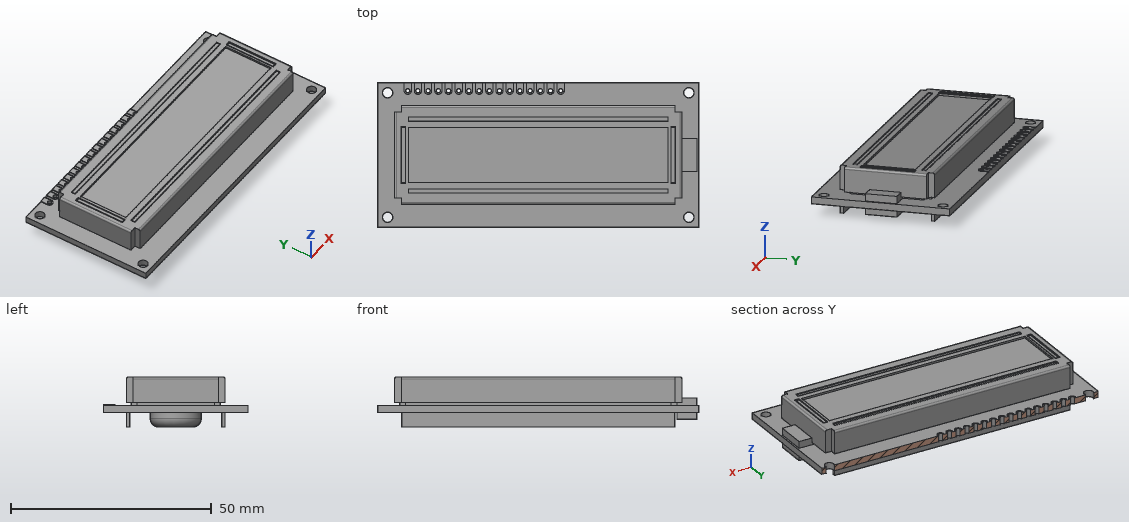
import cadquery as cq

BOARD_LENGTH = 80.0
BOARD_WIDTH = 36.0
BOARD_THICKNESS = 1.8
MOUNT_HOLE_DIAMETER = 2.5
MOUNT_HOLE_INSET = 2.5

PAD_COUNT = 16
PAD_PITCH = 2.54
PAD_WIDTH = 1.8
PAD_HEIGHT = 0.2
PAD_HOLE_DIAMETER = 1.0
PAD_HOLE_EDGE_DISTANCE = 2.0
FIRST_PAD_X = -32.5

BACKLIGHT_LENGTH = 69.0
BACKLIGHT_WIDTH = 22.2
BACKLIGHT_HEIGHT = 0.7
BACKLIGHT_NOTCH = 1.5
TERMINAL_LENGTH = 5.0
TERMINAL_WIDTH = 8.2
TERMINAL_RISE = 1.9
TERMINAL_DROP = 1.7

BEZEL_LENGTH = 71.6
BEZEL_WIDTH = 24.6
BEZEL_HEIGHT = 6.4
BEZEL_NOTCH_X = 1.75
BEZEL_NOTCH_Y = 1.6
BEZEL_FILLET = 0.5

WINDOW_LENGTH = 64.6
WINDOW_WIDTH = 13.6
WINDOW_DEPTH = 0.5
GROOVE_DEPTH = 0.25
LONG_GROOVE_INNER_Y = 8.4
LONG_GROOVE_OUTER_Y = 9.5
LONG_GROOVE_LEDGE = 0.1
SHORT_GROOVE_INNER_X = 33.0
SHORT_GROOVE_OUTER_X = 34.2
SHORT_GROOVE_LENGTH = 14.1
SHORT_GROOVE_LEDGE = 0.2
LEDGE_DEPTH = 0.1

UNDERSIDE_DROP = 3.6
LEG_THICKNESS = 0.9
DOME_DIAMETER = 12.8
DOME_FILLET = 2.2

BEZEL_BASE_Z = BOARD_THICKNESS + BACKLIGHT_HEIGHT
BEZEL_TOP_Z = BEZEL_BASE_Z + BEZEL_HEIGHT


def block(length, width, height, x=0.0, y=0.0, z=0.0):
    """Box centred on (x, y) with its underside at z."""
    return cq.Workplane("XY").box(length, width, height, centered=(True, True, False)).translate((x, y, z))


def make_board():
    hole_span_x = BOARD_LENGTH - 2 * MOUNT_HOLE_INSET
    hole_span_y = BOARD_WIDTH - 2 * MOUNT_HOLE_INSET
    return (
        block(BOARD_LENGTH, BOARD_WIDTH, BOARD_THICKNESS)
        .faces(">Z").workplane()
        .rect(hole_span_x, hole_span_y, forConstruction=True)
        .vertices()
        .hole(MOUNT_HOLE_DIAMETER)
    )


def add_pads(body):
    """Raised pads with a round inner end, each drilled through the board."""
    edge_y = BOARD_WIDTH / 2
    hole_y = edge_y - PAD_HOLE_EDGE_DISTANCE
    half_width = PAD_WIDTH / 2
    hole_centers = [(FIRST_PAD_X + i * PAD_PITCH, hole_y) for i in range(PAD_COUNT)]
    for x, _ in hole_centers:
        pad = (
            cq.Workplane("XY", origin=(0, 0, BOARD_THICKNESS))
            .moveTo(x - half_width, edge_y)
            .lineTo(x - half_width, hole_y)
            .threePointArc((x, hole_y - half_width), (x + half_width, hole_y))
            .lineTo(x + half_width, edge_y)
            .close()
            .extrude(PAD_HEIGHT)
        )
        body = body.union(pad)
    drills = (
        cq.Workplane("XY")
        .pushPoints(hole_centers)
        .circle(PAD_HOLE_DIAMETER / 2)
        .extrude(BOARD_THICKNESS + PAD_HEIGHT)
    )
    return body.cut(drills)


def make_backlight():
    inner_length = BACKLIGHT_LENGTH - 2 * BACKLIGHT_NOTCH
    inner_width = BACKLIGHT_WIDTH - 2 * BACKLIGHT_NOTCH
    along_x = block(BACKLIGHT_LENGTH, inner_width, BACKLIGHT_HEIGHT, z=BOARD_THICKNESS)
    along_y = block(inner_length, BACKLIGHT_WIDTH, BACKLIGHT_HEIGHT, z=BOARD_THICKNESS)
    terminal = block(
        TERMINAL_LENGTH,
        TERMINAL_WIDTH,
        TERMINAL_DROP + BOARD_THICKNESS + TERMINAL_RISE,
        x=(BACKLIGHT_LENGTH + TERMINAL_LENGTH) / 2,
        z=-TERMINAL_DROP,
    )
    return along_x.union(along_y).union(terminal)


def make_bezel():
    along_x = block(BEZEL_LENGTH, BEZEL_WIDTH - 2 * BEZEL_NOTCH_Y, BEZEL_HEIGHT, z=BEZEL_BASE_Z)
    along_x = along_x.faces(">Z").edges("|Y").fillet(BEZEL_FILLET)
    along_y = block(BEZEL_LENGTH - 2 * BEZEL_NOTCH_X, BEZEL_WIDTH, BEZEL_HEIGHT, z=BEZEL_BASE_Z)
    along_y = along_y.faces(">Z").edges("|X").fillet(BEZEL_FILLET)
    return along_x.union(along_y)


def bezel_recess(x_range, y_range, depth):
    """Rectangular cutter spanning the given ranges, sunk to depth below the bezel top."""
    x_start, x_end = x_range
    y_start, y_end = y_range
    return block(
        x_end - x_start,
        y_end - y_start,
        depth,
        x=(x_start + x_end) / 2,
        y=(y_start + y_end) / 2,
        z=BEZEL_TOP_Z - depth,
    )


def make_long_groove():
    """Groove along the +Y side, with a shallow ledge on its inner side."""
    x_range = (-WINDOW_LENGTH / 2, WINDOW_LENGTH / 2)
    ledge = bezel_recess(x_range, (LONG_GROOVE_INNER_Y, LONG_GROOVE_OUTER_Y), LEDGE_DEPTH)
    floor_start = LONG_GROOVE_INNER_Y + LONG_GROOVE_LEDGE
    floor = bezel_recess(x_range, (floor_start, LONG_GROOVE_OUTER_Y), GROOVE_DEPTH)
    return ledge.union(floor)


def make_short_groove():
    """Groove along the +X side, with a shallow ledge on its outer side and both ends."""
    half_length = SHORT_GROOVE_LENGTH / 2
    ledge = bezel_recess(
        (SHORT_GROOVE_INNER_X, SHORT_GROOVE_OUTER_X), (-half_length, half_length), LEDGE_DEPTH
    )
    floor_end = SHORT_GROOVE_OUTER_X - SHORT_GROOVE_LEDGE
    floor_half_length = half_length - SHORT_GROOVE_LEDGE
    floor = bezel_recess(
        (SHORT_GROOVE_INNER_X, floor_end), (-floor_half_length, floor_half_length), GROOVE_DEPTH
    )
    return ledge.union(floor)


def cut_bezel_recesses(bezel):
    window = block(WINDOW_LENGTH, WINDOW_WIDTH, WINDOW_DEPTH, z=BEZEL_TOP_Z - WINDOW_DEPTH)
    long_groove = make_long_groove()
    short_groove = make_short_groove()
    return (
        bezel.cut(window)
        .cut(long_groove)
        .cut(long_groove.mirror("XZ"))
        .cut(short_groove)
        .cut(short_groove.mirror("YZ"))
    )


def make_legs():
    """Two plates under the board, flush with the long sides of the bezel."""
    length = BEZEL_LENGTH - 2 * BEZEL_NOTCH_X
    leg_y = (BEZEL_WIDTH - LEG_THICKNESS) / 2
    front = block(length, LEG_THICKNESS, UNDERSIDE_DROP, y=-leg_y, z=-UNDERSIDE_DROP)
    return front.union(front.mirror("XZ"))


def make_dome():
    return (
        cq.Workplane("XY", origin=(0, 0, -UNDERSIDE_DROP))
        .circle(DOME_DIAMETER / 2)
        .extrude(UNDERSIDE_DROP)
        .faces("<Z")
        .edges()
        .fillet(DOME_FILLET)
    )


result = (
    add_pads(make_board())
    .union(make_backlight())
    .union(cut_bezel_recesses(make_bezel()))
    .union(make_legs())
    .union(make_dome())
)